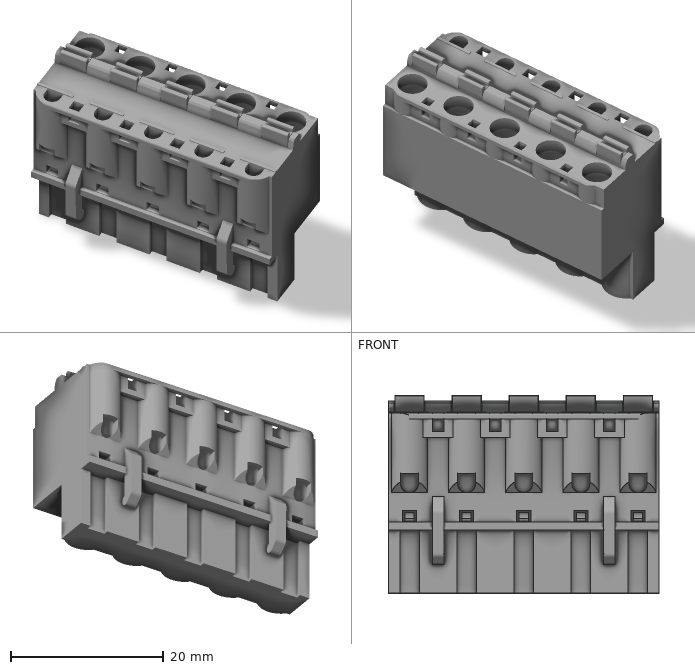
import cadquery as cq
import math


LENGTH = 35.6
HEIGHT = 26.0
POLES = 5
PITCH = 7.5
POLE_X = [(i - (POLES - 1) / 2) * PITCH for i in range(POLES)]
GAP_X = [x + PITCH / 2 for x in POLE_X[:-1]]

WALL_Y = -13.3
BODY_BOTTOM = 8.33
BODY_TOP = 23.7

FLANGE_Y = -13.92
FLANGE_TOP = 9.35

PLUG_REAR_Y = -6.98
PLUG_FRONT_Y = -11.82
PLUG_GROOVE_WIDTH = 2.55
PLUG_GROOVE_DEPTH = 0.7
PLUG_LOBE_CHORD = 4.63
PLUG_LOBE_RISE = 0.95

COLUMN_RADIUS = 2.53
COLUMN_FRONT_Y = -15.0
COLUMN_Y = COLUMN_FRONT_Y + COLUMN_RADIUS
COLUMN_BOTTOM = 13.25
CAP_BOTTOM = 22.93
CAP_ROUND = 0.3

SLOT_WIDTH = 2.35
SLOT_RADIUS = SLOT_WIDTH / 2
SLOT_BACK_Y = -12.3
SLOT_ARC_Y = -13.2
WINDOW_TOP = 15.77
WINDOW_ARC_Z = COLUMN_BOTTOM + SLOT_RADIUS

BAR_WIDTH = 5.05
BAR_REAR_Y = -11.93
BAR_HEIGHT = 0.15

BRIDGE_WIDTH = 4.13
BRIDGE_Y = -14.25
BRIDGE_BOTTOM = 20.5
POCKET_FLOOR = 21.3
FRONT_POCKET_WIDTH = 1.53
FRONT_POCKET_Y = (-14.28, -12.75)
REAR_POCKET_WIDTH = 1.3
REAR_POCKET_Y = (-1.78, -0.45)

FUNNEL_Y = -2.78
FUNNEL_DIAMETER = 4.0
FUNNEL_THROAT = 2.78
FUNNEL_STRAIGHT = 1.8
FUNNEL_TAPER = 1.07

RELIEF_BOTTOM = 20.45
RELIEF_DEPTH = 0.5
REAR_COLUMN_RADIUS = 2.3
REAR_CHAMFER = 0.2

RIDGE_TOP = 25.3
RIDGE_REAR_Y = -5.3
RIDGE_REAR_BEND = (-5.5, 24.78)
RIDGE_CROWN_Y = (-6.98, -5.8)
RIDGE_FRONT_BEND = (-7.2, 25.03)
RIDGE_FRONT_Y = -7.5
CLIP_REAR_Y = -5.4
CLIP_FRONT_Y = -7.45
CLIP_WIDTH = 3.85
CLIP_GAP = 0.07
REAR_PRONG = 0.57
FRONT_PRONG = 0.68
PRONG_ROUND = 0.2

TEST_WIDTH = 1.85
TEST_BOTTOM = 9.47
TEST_TOP = 10.9
TEST_DEPTH = 1.4
WEDGE_WIDTH = 1.2
WEDGE_TOP = 10.65
WEDGE_RISE = 0.8

LATCH_WIDTH = 1.53
LATCH_X = (GAP_X[0], GAP_X[-1])


def block(x_range, y_range, z_range):
    """Axis-aligned box between the given limits."""
    sizes = [abs(b - a) for a, b in (x_range, y_range, z_range)]
    corner = [min(r) for r in (x_range, y_range, z_range)]
    return cq.Workplane("XY").box(*sizes, centered=False).translate(tuple(corner))


def span(centre, width):
    """Limits of a stretch of the given width about its centre."""
    return (centre - width / 2, centre + width / 2)


def side_prism(points, centre_x, width):
    """Outline of (y, z) points extruded along X about centre_x."""
    prism = cq.Workplane("YZ").polyline(points).close().extrude(width / 2, both=True)
    return prism.translate((centre_x, 0, 0))


def make_housing():
    full = span(0, LENGTH)
    body = block(full, (WALL_Y, 0), (BODY_BOTTOM, BODY_TOP))
    body = body.faces(">Y").edges(">Z").chamfer(REAR_CHAMFER)
    flange = block(full, (FLANGE_Y, WALL_Y), (BODY_BOTTOM, FLANGE_TOP))
    return body.union(flange)


def make_rear_relief():
    """Relief cut: interrupted by the rear columns and by the strip over them."""
    depth = (-RELIEF_DEPTH, 0)
    relief = block(span(0, LENGTH), depth, (RELIEF_BOTTOM, BODY_TOP))
    strip = block((POLE_X[0], POLE_X[-1]), depth, (CAP_BOTTOM, BODY_TOP))
    relief = relief.cut(strip)
    for x in POLE_X:
        column = cq.Workplane("XY").circle(REAR_COLUMN_RADIUS).extrude(BODY_TOP - RELIEF_BOTTOM)
        relief = relief.cut(column.translate((x, -REAR_COLUMN_RADIUS, RELIEF_BOTTOM)))
    return relief


def make_plug():
    plug = block(span(0, LENGTH), (PLUG_FRONT_Y, PLUG_REAR_Y), (0, BODY_BOTTOM))
    half = PLUG_LOBE_CHORD / 2
    for x in POLE_X:
        lobe = (
            cq.Workplane("XY")
            .moveTo(x - half, PLUG_REAR_Y)
            .threePointArc((x, PLUG_REAR_Y + PLUG_LOBE_RISE), (x + half, PLUG_REAR_Y))
            .close()
            .extrude(BODY_BOTTOM)
        )
        groove_y = (PLUG_FRONT_Y, PLUG_FRONT_Y + PLUG_GROOVE_DEPTH)
        groove = block(span(x, PLUG_GROOVE_WIDTH), groove_y, (0, BODY_BOTTOM))
        plug = plug.union(lobe).cut(groove)
    return plug


def make_column(x):
    """Round column with its foot cut back at 45 degrees to the front wall."""
    column = cq.Workplane("XY").circle(COLUMN_RADIUS).extrude(BODY_TOP - COLUMN_BOTTOM)
    column = column.translate((x, COLUMN_Y, COLUMN_BOTTOM))
    reach = WALL_Y - COLUMN_FRONT_Y
    foot = [
        (WALL_Y, COLUMN_BOTTOM),
        (COLUMN_FRONT_Y, COLUMN_BOTTOM),
        (COLUMN_FRONT_Y, COLUMN_BOTTOM + reach),
    ]
    return column.cut(side_prism(foot, x, 2 * COLUMN_RADIUS))


def make_front():
    """Columns, the cap strip over them and the bridges between them."""
    front = block((POLE_X[0], POLE_X[-1]), (COLUMN_FRONT_Y, WALL_Y), (CAP_BOTTOM, BODY_TOP))
    for x in POLE_X:
        front = front.union(make_column(x))
    for x in GAP_X:
        bridge = block(span(x, BRIDGE_WIDTH), (BRIDGE_Y, WALL_Y), (BRIDGE_BOTTOM, BODY_TOP))
        front = front.union(bridge)
    rounding = block(
        span(0, LENGTH),
        (COLUMN_FRONT_Y, COLUMN_FRONT_Y + CAP_ROUND),
        (BODY_TOP - CAP_ROUND, BODY_TOP),
    )
    roll = cq.Workplane("YZ").circle(CAP_ROUND).extrude(LENGTH / 2, both=True)
    roll = roll.translate((0, COLUMN_FRONT_Y + CAP_ROUND, BODY_TOP - CAP_ROUND))
    return front.cut(rounding.cut(roll))


def make_slot(x):
    """Vertical screwdriver slot that turns out through a window at the column foot."""
    top = BODY_TOP + BAR_HEIGHT
    shaft = block(span(x, SLOT_WIDTH), (SLOT_ARC_Y, SLOT_BACK_Y), (WINDOW_ARC_Z, top))
    nose = cq.Workplane("XY").circle(SLOT_RADIUS).extrude(top - WINDOW_ARC_Z)
    nose = nose.translate((x, SLOT_ARC_Y, WINDOW_ARC_Z))
    nose = nose.intersect(
        block(span(x, SLOT_WIDTH), (COLUMN_FRONT_Y, SLOT_ARC_Y), (WINDOW_ARC_Z, top))
    )
    window_y = (COLUMN_FRONT_Y, SLOT_BACK_Y)
    window = block(span(x, SLOT_WIDTH), window_y, (WINDOW_ARC_Z, WINDOW_TOP))
    trough = cq.Workplane("XZ").circle(SLOT_RADIUS).extrude(SLOT_BACK_Y - COLUMN_FRONT_Y)
    trough = trough.translate((x, SLOT_BACK_Y, WINDOW_ARC_Z))
    return shaft.union(nose).union(window).union(trough)


def make_bar(x):
    """Marking bar; the end bars run out to the housing sides."""
    left, right = span(x, BAR_WIDTH)
    if x == POLE_X[0]:
        left = -LENGTH / 2
    if x == POLE_X[-1]:
        right = LENGTH / 2
    return block((left, right), (SLOT_BACK_Y, BAR_REAR_Y), (BODY_TOP, BODY_TOP + BAR_HEIGHT))


def make_front_pocket(x):
    return block(span(x, FRONT_POCKET_WIDTH), FRONT_POCKET_Y, (POCKET_FLOOR, BODY_TOP))


def make_rear_pocket(x):
    """Pocket that breaks through into the rear relief below the strip."""
    return block(span(x, REAR_POCKET_WIDTH), REAR_POCKET_Y, (POCKET_FLOOR, BODY_TOP))


def make_funnel(x):
    mouth = cq.Workplane("XY").circle(FUNNEL_DIAMETER / 2).extrude(-FUNNEL_STRAIGHT)
    cone = (
        cq.Workplane("XY")
        .workplane(offset=-FUNNEL_STRAIGHT)
        .circle(FUNNEL_DIAMETER / 2)
        .workplane(offset=-FUNNEL_TAPER)
        .circle(FUNNEL_THROAT / 2)
        .loft()
    )
    return mouth.union(cone).translate((x, FUNNEL_Y, BODY_TOP))


def make_test_opening(x):
    """Rectangular recess with a sloping contact rising at its back."""
    back_y = WALL_Y + TEST_DEPTH
    recess = block(span(x, TEST_WIDTH), (WALL_Y, back_y), (TEST_BOTTOM, TEST_TOP))
    wedge = [
        (back_y, TEST_BOTTOM),
        (back_y, WEDGE_TOP),
        (back_y - WEDGE_RISE, WEDGE_TOP - WEDGE_RISE),
        (back_y - WEDGE_RISE, TEST_BOTTOM),
    ]
    return recess.cut(side_prism(wedge, x, WEDGE_WIDTH))


def make_ridge():
    """Ridge with a rounded back and a bevelled front, opened where the clips stand."""
    ridge = (
        cq.Workplane("YZ")
        .moveTo(RIDGE_REAR_Y, BODY_TOP)
        .threePointArc(RIDGE_REAR_BEND, (RIDGE_CROWN_Y[1], RIDGE_TOP))
        .lineTo(RIDGE_CROWN_Y[0], RIDGE_TOP)
        .lineTo(*RIDGE_FRONT_BEND)
        .lineTo(RIDGE_FRONT_Y, BODY_TOP)
        .close()
        .extrude(LENGTH / 2, both=True)
    )
    opening_y = (RIDGE_FRONT_Y, RIDGE_REAR_Y)
    for x in POLE_X:
        opening = block(span(x, CLIP_WIDTH + 2 * CLIP_GAP), opening_y, (BODY_TOP, RIDGE_TOP))
        ridge = ridge.cut(opening)
    return ridge


def make_clip(x):
    """Marker clip: two prongs standing on a common base."""
    width = span(x, CLIP_WIDTH)
    clip = block(width, (CLIP_FRONT_Y, CLIP_REAR_Y), (BODY_TOP, HEIGHT))
    channel_y = (CLIP_FRONT_Y + FRONT_PRONG, CLIP_REAR_Y - REAR_PRONG)
    clip = clip.cut(block(width, channel_y, (RIDGE_TOP, HEIGHT)))
    return clip.faces(">Z").edges("|X").fillet(PRONG_ROUND)


def make_latch(x):
    """Latch arm bent down in front of the flange, ending in a hooked round tip."""
    arm_front_y = -15.2
    arm_back_y = -13.42
    shoulder_z = 10.82
    shoulder_round = 0.85
    root_top = shoulder_z + (WALL_Y - arm_front_y)
    heel = (-15.1, 5.2)
    heel_bend = (-15.02, 4.9)
    heel_end = (-14.85, 4.7)
    tip_y = -13.55
    tip_z = 4.52
    tip_radius = 0.7
    tip_lift = math.sqrt(tip_radius**2 - (arm_back_y - tip_y) ** 2)
    slant = tip_radius * math.sqrt(0.5)
    arm = (
        cq.Workplane("YZ")
        .moveTo(WALL_Y, root_top)
        .lineTo(arm_front_y, shoulder_z)
        .lineTo(*heel)
        .threePointArc(heel_bend, heel_end)
        .lineTo(tip_y - slant, tip_z - slant)
        .threePointArc((tip_y + slant, tip_z - slant), (arm_back_y, tip_z + tip_lift))
        .lineTo(arm_back_y, BODY_BOTTOM)
        .lineTo(WALL_Y, BODY_BOTTOM)
        .close()
        .extrude(LATCH_WIDTH / 2, both=True)
    )
    shoulder = cq.selectors.NearestToPointSelector((0, arm_front_y, shoulder_z))
    return arm.edges(shoulder).fillet(shoulder_round).translate((x, 0, 0))


result = make_housing().union(make_plug()).union(make_front()).union(make_ridge())
result = result.cut(make_rear_relief())

for pole in POLE_X:
    result = result.union(make_bar(pole)).union(make_clip(pole))
    result = result.cut(make_slot(pole)).cut(make_funnel(pole)).cut(make_test_opening(pole))

for gap in GAP_X:
    result = result.cut(make_front_pocket(gap)).cut(make_rear_pocket(gap))

for latch in LATCH_X:
    result = result.union(make_latch(latch))